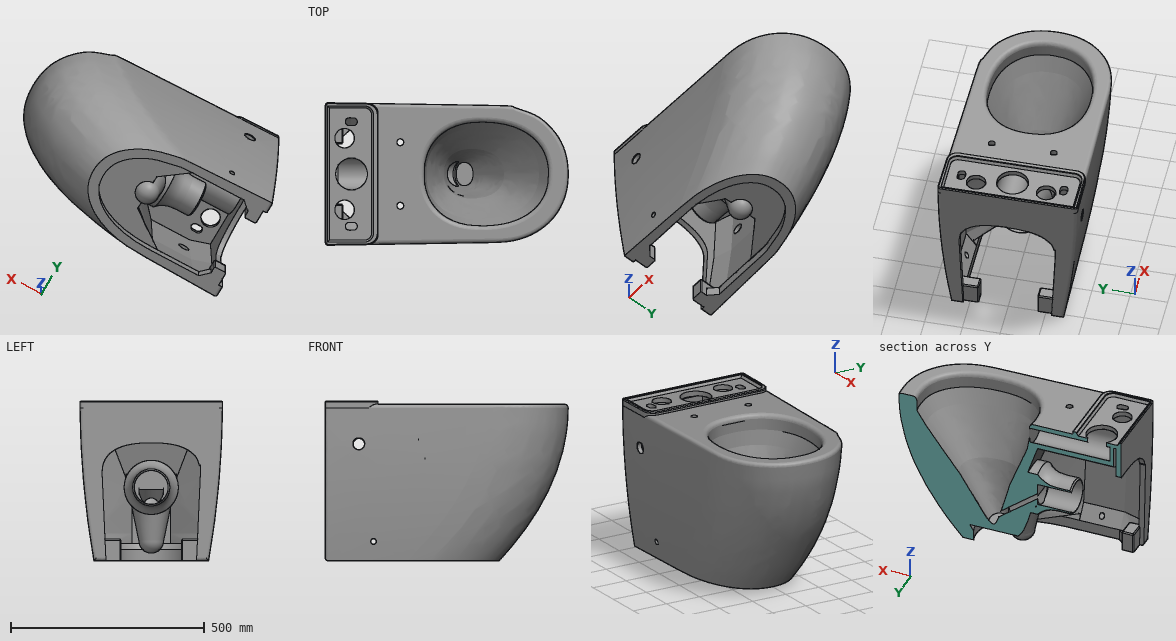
import cadquery as cq
import math

total_height = 413.0
deck_height = 405.0
half_width_top = 184.52
side_draw_in = 36.0
tip_reach = 628.45
tip_rake = 179.0
tip_rake_power = 2.1
nose_length_top = 185.0
nose_lengthening = 50.0
nose_width_ratio = 0.962
nose_power = 2.15
nose_steps = 12
rear_edge_radius = 8.0
deck_edge_radius = 10.0
crown_base = deck_height - deck_edge_radius
body_levels = (0.0, 100.0, 200.0, 300.0, crown_base)
edge_steps = 4

platform_length = 137.0
platform_corner_radius = 28.0
platform_edge_chamfer = 2.5
pan_floor = 403.0
pan_rim_drop = 3.0
pan_wall_run = 5.0
pan_rear = 6.0
pan_front = 125.0
pan_half_width = 176.0
pan_corner_radius = 24.0

duct_rear = 33.0
duct_radius = 41.0
duct_axis_z = 375.0
duct_wall = 12.0

wall = 13.0
rear_wall = 15.0
deck_underside = 390.0
overcut = 1.0
ledge_top = 70.0
lip_top = 30.0
lip_width = 29.0
recess_roof = 45.0
ledge_run = 9.0
side_wall_start = 67.0
side_wall_end = 182.0
rear_corner_inset = 16.0
end_wall_x = 290.0
end_wall_half_width = 50.0
bowl_back_top_x = 215.0
bowl_back_low_x = 280.0
bowl_back_low_z = 200.0

arch_top = 305.0
arch_shoulder = 225.0
arch_half_width = 127.0
arch_foot_half_width = 117.0
arch_power = 2.5

foot_rear = 12.0
foot_front = 46.0
foot_inner = 78.0
foot_outer = 130.0
foot_height = 56.0
foot_chamfer = 3.0
gusset_inner = 97.0
gusset_front = 70.0

outlet_z = 190.0
outlet_radius = 48.0
outlet_bore_radius = 43.6
outlet_rear = 140.0
outlet_lip_chamfer = 4.0
collar_start = 180.0
collar_end = 235.0
collar_radius = 70.0
trap_axis_x = 290.0
trap_top_z = 225.0
trap_top_radius = 68.0
trap_end_radius = 32.0
trap_bottom = 20.0
passage_radius = 32.0
passage_start = (350.0, 95.0)
passage_end = (235.0, 185.0)

bowl_widest_share = 0.46
bowl_power = 2.25
bowl_steps = 8
rim_radius = 12.0
throat_rear, throat_front, throat_half_width = 256.0, 577.0, 134.0
throat_bottom = 363.0
basin_top = (324.0, 262.0, 553.0, 117.0)
sump_top = (200.0, 307.0, 463.0, 64.0)
sump_floor = (60.0, 339.0, 382.0, 30.0)

inlet_x, inlet_radius = 68.0, duct_radius
access_x, access_y, access_radius = 50.0, 92.6, 25.0
slot_x, slot_y, slot_length, slot_width = 67.5, 135.0, 31.0, 20.0
seat_x, seat_y, seat_radius = 194.0, 82.0, 8.5
side_holes = ((87.0, 302.0, 14.5), (125.0, 50.0, 7.0))
side_hole_chamfer = 2.5


def half_width(z):
    """Half width of the rear face at height z."""
    drop = (total_height - z) / total_height
    return half_width_top - side_draw_in * drop ** 2


def nose_tip(z):
    """Front end of the body at height z."""
    drop = (deck_height - z) / deck_height
    return tip_reach - tip_rake * drop ** tip_rake_power


def nose_root(z):
    """Place where the straight sides end and the nose begins at height z."""
    drop = (deck_height - z) / deck_height
    return nose_tip(z) - nose_length_top - nose_lengthening * math.sqrt(drop)


def superellipse_point(angle, reach, width, power):
    """Point of a superellipse quadrant at a parameter angle."""
    along = math.copysign(abs(math.cos(angle)) ** (2 / power), math.cos(angle))
    across = math.copysign(abs(math.sin(angle)) ** (2 / power), math.sin(angle))
    return reach * along, width * across


def superellipse_arc(center_x, reach, width, power, start, stop, steps):
    """Points of a superellipse arc about (center_x, 0) between two parameter angles."""
    points = []
    for step in range(steps + 1):
        angle = start + (stop - start) * step / steps
        x, y = superellipse_point(angle, reach, width, power)
        points.append((center_x + x, y))
    return points


def level(z):
    """Horizontal workplane at height z."""
    return cq.Workplane("XY").workplane(offset=z)


def loft_through(wires, ruled=False):
    """Solid lofted through a list of closed wires."""
    return cq.Workplane(cq.Solid.makeLoft(wires, ruled))


def mirrored_outline(half):
    """Outline points completed by mirroring a +Y half across the XZ plane."""
    return half + [(x, -y) for x, y in reversed(half)]


def body_outline(z, inset=0.0):
    """Plan outline of the body at height z, its sides and nose drawn in by an inset."""
    rear = half_width(z) - inset
    root = half_width(z) * nose_width_ratio - inset
    nose_x = nose_root(z)
    reach = nose_tip(z) - nose_x - inset
    nose = superellipse_arc(nose_x, reach, root, nose_power, -math.pi / 2, math.pi / 2, nose_steps)
    narrowing = rear - root
    return (
        level(z)
        .moveTo(0, -rear)
        .lineTo(*nose[0])
        .spline(nose[1:], tangents=[(nose_x, narrowing), (-nose_x, narrowing)], includeCurrent=True)
        .lineTo(0, rear)
        .close()
        .val()
    )


def make_crown():
    """Rounded top layer of the deck."""
    sections = []
    for step in range(edge_steps + 1):
        angle = math.pi / 2 * step / edge_steps
        rise = deck_edge_radius * math.sin(angle)
        inset = deck_edge_radius * (1 - math.cos(angle))
        sections.append(body_outline(crown_base + rise, inset))
    under_platform = level(0).rect(platform_length, 2 * total_height).extrude(total_height)
    return loft_through(sections).cut(under_platform)


def make_platform():
    """Raised cistern platform, narrowing slightly toward its rounded front corners."""
    taper = (1 - nose_width_ratio) * platform_length / nose_root(deck_height)
    front_half_width = half_width_top * (1 - taper)
    half = [(0, half_width_top), (platform_length, front_half_width)]
    platform = (
        level(crown_base).polyline(mirrored_outline(half)).close()
        .extrude(total_height - crown_base)
    )
    platform = platform.edges("|Z and >X").fillet(platform_corner_radius)
    platform = platform.edges("|Z and <X").fillet(rear_edge_radius)
    return platform.faces(">Z").edges().chamfer(platform_edge_chamfer)


def make_body():
    """Outer body with a rounded deck edge and the raised cistern platform."""
    shell = loft_through([body_outline(z) for z in body_levels])
    shell = shell.faces("<X").edges("not >Z").fillet(rear_edge_radius)
    return shell.union(make_crown()).union(make_platform())


def make_pan():
    """Shallow tray sunk into the platform, wider at the top."""
    length = pan_front - pan_rear
    depth = total_height - pan_floor
    return (
        level(total_height)
        .center(pan_rear + length / 2, 0)
        .rect(length, 2 * pan_half_width)
        .extrude(-depth)
        .edges("|Z and >X").fillet(pan_corner_radius)
        .faces("<Z").edges().chamfer(depth - pan_rim_drop, pan_wall_run)
    )


def chamber_outline(z):
    """Plan outline of the hollow behind the bowl at height z."""
    side = half_width(z) - wall
    half = [
        (rear_wall, side - rear_corner_inset),
        (side_wall_start, side),
        (side_wall_end, side),
        (end_wall_x, end_wall_half_width),
    ]
    return level(z).polyline(mirrored_outline(half)).close().val()


def lip_outline(z):
    """Plan outline of the lower hollow, inside the bottom lip."""
    side = half_width(0) - lip_width
    half = [
        (rear_wall, side),
        (side_wall_start, side),
        (side_wall_end, side),
        (end_wall_x, end_wall_half_width),
    ]
    return level(z).polyline(mirrored_outline(half)).close().val()


def make_chamber():
    """Hollow behind the bowl: straight lip, sloping ledge, then the main walls."""
    lip = loft_through([lip_outline(0), lip_outline(lip_top)], ruled=True)
    ledge = loft_through([lip_outline(lip_top), chamber_outline(ledge_top)], ruled=True)
    middle = (ledge_top + deck_underside) / 2
    levels = (ledge_top, middle, deck_underside)
    upper = loft_through([chamber_outline(z) for z in levels], ruled=True)
    bowl_back = (
        cq.Workplane("XZ")
        .moveTo(bowl_back_low_x, bowl_back_low_z)
        .lineTo(bowl_back_top_x, deck_underside)
        .lineTo(end_wall_x, deck_underside)
        .lineTo(end_wall_x, bowl_back_low_z)
        .close()
        .extrude(half_width_top, both=True)
    )
    return lip.union(ledge).union(upper).cut(bowl_back)


def recess_outline(z, inset):
    """Plan outline of the hollow under the bowl, set in from the bottom outline."""
    side = half_width(0) - inset
    nose_x = nose_root(0)
    reach = nose_tip(0) - nose_x - inset
    nose = superellipse_arc(nose_x, reach, side, nose_power, -math.pi / 2, math.pi / 2, nose_steps)
    return (
        level(z)
        .moveTo(side_wall_start, -side)
        .lineTo(*nose[0])
        .spline(nose[1:], tangents=[(1, 0), (-1, 0)], includeCurrent=True)
        .lineTo(side_wall_start, side)
        .close()
        .val()
    )


def make_front_recess():
    """Hollow under the bowl: upright bottom lip with a sloping ledge above it."""
    lip_outlines = [recess_outline(z, lip_width) for z in (0, lip_top)]
    roof = recess_outline(recess_roof, lip_width - ledge_run)
    return loft_through(lip_outlines + [roof], ruled=True)


def make_rear_opening():
    """Arched opening through the rear wall, running down to the floor."""
    arch = superellipse_arc(
        0, arch_half_width, arch_top - arch_shoulder, arch_power, 0, math.pi, 2 * bowl_steps)
    points = [(x, arch_shoulder + z) for x, z in arch]
    return (
        cq.Workplane("YZ")
        .moveTo(-arch_foot_half_width, 0)
        .lineTo(arch_foot_half_width, 0)
        .lineTo(*points[0])
        .spline(points[1:], tangents=[(0, 1), (0, -1)], includeCurrent=True)
        .close()
        .extrude(rear_wall + overcut)
    )


def make_foot(side):
    """Block standing on the floor just inside the rear opening."""
    return (
        level(0)
        .center((foot_rear + foot_front) / 2, side * (foot_inner + foot_outer) / 2)
        .rect(foot_front - foot_rear, foot_outer - foot_inner)
        .extrude(foot_height)
        .edges("not <Z").chamfer(foot_chamfer)
    )


def make_gusset(side):
    """Low triangular web joining the front of a foot to the bottom lip."""
    points = [
        (foot_front, gusset_inner),
        (gusset_front, half_width(0) - lip_width),
        (foot_front, foot_outer),
    ]
    return level(0).polyline([(x, side * y) for x, y in points]).close().extrude(lip_top)


def make_duct(radius, rear):
    """U-shaped channel prism of the given radius, closed at the deck underside."""
    return (
        cq.Workplane("YZ").workplane(offset=rear)
        .moveTo(-radius, deck_underside)
        .lineTo(-radius, duct_axis_z)
        .threePointArc((0, duct_axis_z - radius), (radius, duct_axis_z))
        .lineTo(radius, deck_underside)
        .close()
        .extrude(throat_rear - rear)
    )


def make_trap():
    """Tapered trap body with a round bottom, and the flared outlet pipe behind it."""
    round_center_z = trap_bottom + trap_end_radius
    diagonal = trap_end_radius * math.cos(math.pi / 4)
    leg = (
        cq.Workplane("XZ")
        .moveTo(0, trap_bottom)
        .threePointArc((diagonal, round_center_z - diagonal), (trap_end_radius, round_center_z))
        .lineTo(trap_top_radius, trap_top_z)
        .lineTo(0, trap_top_z)
        .close()
        .revolve(360, (0, 0, 0), (0, 1, 0))
        .translate((trap_axis_x, 0, 0))
    )
    pipe = (
        cq.Workplane("XY")
        .moveTo(outlet_rear, 0)
        .lineTo(outlet_rear, outlet_radius - outlet_lip_chamfer)
        .lineTo(outlet_rear + outlet_lip_chamfer, outlet_radius)
        .lineTo(collar_start, outlet_radius)
        .spline([(collar_end, collar_radius)], tangents=[(1, 0), (1, 1)], includeCurrent=True)
        .lineTo(trap_axis_x, collar_radius)
        .lineTo(trap_axis_x, 0)
        .close()
        .revolve(360, (0, 0, 0), (1, 0, 0))
        .translate((0, 0, outlet_z))
    )
    return leg.union(pipe)


def bowl_outline(z, rear, front, width):
    """Egg-shaped plan outline of the bowl at height z."""
    middle = rear + (front - rear) * bowl_widest_share
    points = superellipse_arc(middle, front - middle, width, bowl_power, 0, math.pi / 2, bowl_steps)
    points += superellipse_arc(
        middle, middle - rear, width, bowl_power, math.pi / 2, math.pi, bowl_steps)[1:]
    points += [(x, -y) for x, y in reversed(points[1:-1])]
    return level(z).spline(points, periodic=True).close().val()


def make_bowl():
    """Inside of the bowl: rounded rim, upright throat, sloping basin and sump."""
    throat = (throat_rear, throat_front, throat_half_width)
    throat_solid = loft_through([
        bowl_outline(throat_bottom, *throat),
        bowl_outline(deck_height, *throat),
    ])
    rim_sections = []
    for step in range(edge_steps + 1):
        angle = math.pi / 2 * step / edge_steps
        flare = rim_radius * (1 - math.cos(angle))
        z = deck_height - rim_radius * (1 - math.sin(angle))
        rim_sections.append(
            bowl_outline(z, throat_rear - flare, throat_front + flare, throat_half_width + flare))
    rim = loft_through(rim_sections)
    lower_outlines = [(throat_bottom, *throat), basin_top, sump_top, sump_floor]
    lower = loft_through([bowl_outline(*section) for section in lower_outlines], ruled=True)
    return throat_solid.union(rim).union(lower)


def make_trap_passage():
    """Outlet bore and the sloping passage that joins it to the sump."""
    end_x, end_z = passage_end
    start_x, start_z = passage_start
    bore = (
        cq.Workplane("YZ").workplane(offset=outlet_rear)
        .center(0, outlet_z).circle(outlet_bore_radius).extrude(end_x - outlet_rear)
    )
    run = cq.Vector(end_x - start_x, 0, end_z - start_z)
    passage = cq.Solid.makeCylinder(passage_radius, run.Length, cq.Vector(start_x, 0, start_z), run)
    return bore.union(cq.Workplane(passage))


def make_deck_holes():
    """Holes in the cistern tray and the seat bolt holes."""
    drill = level(deck_underside - overcut)
    depth = total_height - deck_underside + overcut
    holes = drill.center(inlet_x, 0).circle(inlet_radius).extrude(depth)
    mirror = (1, -1)
    access = drill.pushPoints([(access_x, side * access_y) for side in mirror])
    holes = holes.union(access.circle(access_radius).extrude(depth))
    slots = drill.pushPoints([(slot_x, side * slot_y) for side in mirror])
    holes = holes.union(slots.slot2D(slot_length, slot_width).extrude(depth))
    bolts = level(0).pushPoints([(seat_x, side * seat_y) for side in mirror])
    return holes.union(bolts.circle(seat_radius).extrude(total_height))


def make_side_hole(x, z, radius):
    """Hole across both side walls, countersunk on the outside."""
    reach = half_width(z)
    profile = [
        (0, -reach - side_hole_chamfer),
        (radius + 2 * side_hole_chamfer, -reach - side_hole_chamfer),
        (radius, -reach + side_hole_chamfer),
        (radius, reach - side_hole_chamfer),
        (radius + 2 * side_hole_chamfer, reach + side_hole_chamfer),
        (0, reach + side_hole_chamfer),
    ]
    return (
        cq.Workplane("XY").polyline(profile).close()
        .revolve(360, (0, 0, 0), (0, 1, 0))
        .translate((x, 0, z))
    )


def make_part():
    """Complete toilet pan."""
    body = make_body().cut(make_pan())
    body = body.cut(make_chamber()).cut(make_front_recess()).cut(make_rear_opening())
    for side in (1, -1):
        body = body.union(make_foot(side)).union(make_gusset(side))
    body = body.union(make_trap())
    body = body.union(make_duct(duct_radius + duct_wall, duct_rear - duct_wall))
    body = body.cut(make_duct(duct_radius, duct_rear))
    body = body.cut(make_bowl()).cut(make_trap_passage()).cut(make_deck_holes())
    for x, z, radius in side_holes:
        body = body.cut(make_side_hole(x, z, radius))
    return body


result = make_part()